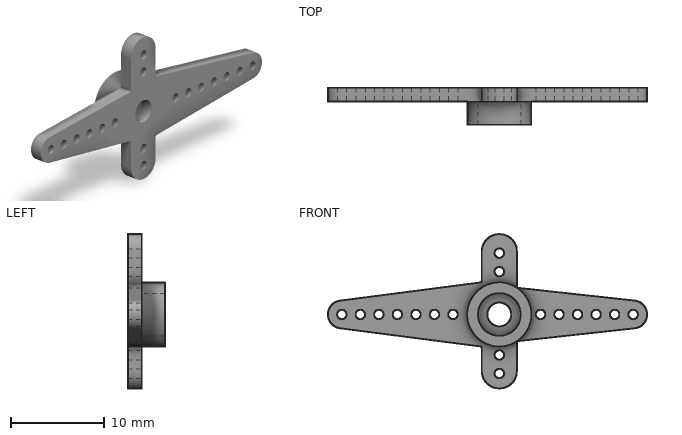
import cadquery as cq
import math

plate_thickness = 1.5
hub_height = 2.5
left_reach = 18.4
right_reach = 15.88
upper_reach = 8.65
lower_reach = 7.95

tip_radius = 1.5
left_root_half_width = 3.45
right_root_half_width = 2.88
vertical_arm_width = 3.8
root_fillet_radius = 0.17

hub_diameter = 6.9
spline_bore_diameter = 4.6
screw_hole_diameter = 2.55

hole_diameter = 1.0
hole_pitch = 2.0
left_hole_count = 7
right_hole_count = 6
vertical_hole_count = 2
outer_upper_hole = 6.6
outer_lower_hole = 6.35

root_x = vertical_arm_width / 2


def plane_at(y):
    """XZ sketch plane at the given Y; extrusion runs toward -Y."""
    return cq.Workplane("XZ", origin=(0, y, 0))


def tapered_arm(reach, root_half_width, side):
    """Arm along X with a round tip tangent to its straight sloping edges."""
    tip_x = reach - tip_radius
    run = tip_x - root_x
    tip_angle = math.asin(tip_radius / math.hypot(run, root_half_width))
    slope = math.atan2(root_half_width, run) - tip_angle
    tangent_x = tip_x + tip_radius * math.sin(slope)
    tangent_z = tip_radius * math.cos(slope)
    return (
        plane_at(0)
        .moveTo(0, -root_half_width)
        .lineTo(side * root_x, -root_half_width)
        .lineTo(side * tangent_x, -tangent_z)
        .threePointArc((side * reach, 0), (side * tangent_x, tangent_z))
        .lineTo(side * root_x, root_half_width)
        .lineTo(0, root_half_width)
        .close()
        .extrude(plate_thickness)
    )


def hole_row(outermost, count):
    """Distances from the hub axis, starting at the outermost hole."""
    return [outermost - i * hole_pitch for i in range(count)]


vertical_arm = (
    plane_at(0)
    .center(0, (upper_reach - lower_reach) / 2)
    .slot2D(upper_reach + lower_reach, vertical_arm_width, 90)
    .extrude(plate_thickness)
)
plate = (
    vertical_arm
    .union(tapered_arm(left_reach, left_root_half_width, -1))
    .union(tapered_arm(right_reach, right_root_half_width, 1))
)

left_corners = cq.selectors.BoxSelector(
    (-root_x - root_fillet_radius, -plate_thickness, -left_root_half_width - root_fillet_radius),
    (-root_x + root_fillet_radius, plate_thickness, left_root_half_width + root_fillet_radius),
)
plate = plate.edges("|Y").edges(left_corners).fillet(root_fillet_radius)

total_depth = plate_thickness + hub_height
hub = plane_at(0).circle(hub_diameter / 2).extrude(total_depth)

left_holes = [(-x, 0) for x in hole_row(left_reach - tip_radius, left_hole_count)]
right_holes = [(x, 0) for x in hole_row(right_reach - tip_radius, right_hole_count)]
upper_holes = [(0, z) for z in hole_row(outer_upper_hole, vertical_hole_count)]
lower_holes = [(0, -z) for z in hole_row(outer_lower_hole, vertical_hole_count)]
linkage_holes = (
    plane_at(0)
    .pushPoints(left_holes + right_holes + upper_holes + lower_holes)
    .circle(hole_diameter / 2)
    .extrude(plate_thickness)
)

spline_bore = (
    plane_at(-plate_thickness)
    .circle(spline_bore_diameter / 2)
    .extrude(hub_height)
)
screw_hole = plane_at(0).circle(screw_hole_diameter / 2).extrude(plate_thickness)

result = plate.union(hub).cut(linkage_holes).cut(spline_bore).cut(screw_hole)